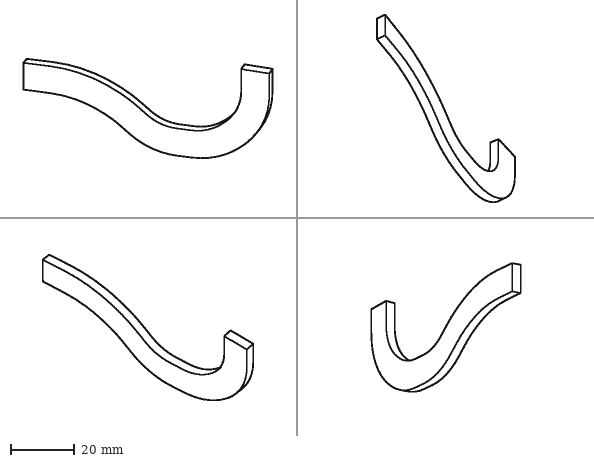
import cadquery as cq
import math

LENGTH = 81.1
HEIGHT = 33.6
DEPTH = 7.95
WIDTH = 9.5
THICKNESS = 3.2

LEFT_STRAIGHT = 8.7
LARGE_RADIUS = 40.0
SMALL_RADIUS = 20.0
BEND_GAP = 1.1
SLOPE_STRAIGHT = 4.0
FIRST_ANGLE = 24.4
DOWN_ANGLE = 39.0
RISE_SPLIT_ANGLE = 36.5
UPRIGHT_ANGLE = 90.0
LEAN = 0.4
TOP_TILT = 0.25
SECTIONS_PER_BEND = 6

END_X = LENGTH - WIDTH / 2
SIDE_SHIFT = DEPTH - THICKNESS


def direction(angle):
    """Unit travel direction in the XZ plane, for an angle above +X."""
    a = math.radians(angle)
    return math.cos(a), math.sin(a)


def straight(start, length):
    """Stations (x, z, heading) at both ends of a straight."""
    x, z, heading = start
    dx, dz = direction(heading)
    return [start, (x + length * dx, z + length * dz, heading)]


def bend(start, radius, end_heading):
    """Evenly spaced stations round a circular bend."""
    x, z, heading = start
    turn = end_heading - heading
    signed_radius = math.copysign(radius, turn)
    cx, sx = direction(heading)
    stations = []
    for i in range(SECTIONS_PER_BEND + 1):
        angle = heading + turn * i / SECTIONS_PER_BEND
        c, s = direction(angle)
        stations.append((x + signed_radius * (s - sx), z + signed_radius * (cx - c), angle))
    return stations


def section(station, tilt=0.0):
    """Rectangle across the path; its Y position follows X, with a lean fading out at both ends."""
    x, z, heading = station
    c, s = direction(heading)
    progress = x / END_X
    y = SIDE_SHIFT * progress
    lean = LEAN * 4 * progress * (1 - progress)
    corners = []
    for side, back in ((-1, 0), (1, 0), (1, 1), (-1, 1)):
        offset = side * WIDTH / 2
        lift = tilt * (back - 1)
        corner_y = y + back * THICKNESS + side * lean / 2
        corners.append(cq.Vector(x - offset * s, corner_y, z + offset * c + lift))
    return cq.Wire.makePolygon(corners, close=True)


down_cos, down_sin = direction(DOWN_ANGLE)
first_cos, first_sin = direction(FIRST_ANGLE)
split_cos, split_sin = direction(RISE_SPLIT_ANGLE)
descent_run = LEFT_STRAIGHT + LARGE_RADIUS * down_sin + BEND_GAP * first_cos + SLOPE_STRAIGHT * down_cos
valley_start = descent_run + SMALL_RADIUS * down_sin
rise_run = SMALL_RADIUS + BEND_GAP * split_cos
VALLEY_STRAIGHT = END_X - rise_run - valley_start

descent = (LARGE_RADIUS + SMALL_RADIUS) * (1 - down_cos) + BEND_GAP * first_sin + SLOPE_STRAIGHT * down_sin
START_Z = WIDTH / 2 + descent
RIGHT_STRAIGHT = HEIGHT - WIDTH / 2 - SMALL_RADIUS - BEND_GAP * split_sin

pieces = [
    (straight, (LEFT_STRAIGHT,)),
    (bend, (LARGE_RADIUS, -FIRST_ANGLE)),
    (straight, (BEND_GAP,)),
    (bend, (LARGE_RADIUS, -DOWN_ANGLE)),
    (straight, (SLOPE_STRAIGHT,)),
    (bend, (SMALL_RADIUS, 0.0)),
    (straight, (VALLEY_STRAIGHT,)),
    (bend, (SMALL_RADIUS, RISE_SPLIT_ANGLE)),
    (straight, (BEND_GAP,)),
    (bend, (SMALL_RADIUS, UPRIGHT_ANGLE)),
]

station = (0.0, START_Z, 0.0)
result = cq.Workplane("XY")
for make_stations, sizes in pieces:
    stations = make_stations(station, *sizes)
    wires = [section(s) for s in stations]
    result = result.add(cq.Solid.makeLoft(wires, make_stations is straight))
    station = stations[-1]

base, top = straight(station, RIGHT_STRAIGHT)
result = result.add(cq.Solid.makeLoft([section(base), section(top, TOP_TILT)], True))
result = result.combine()